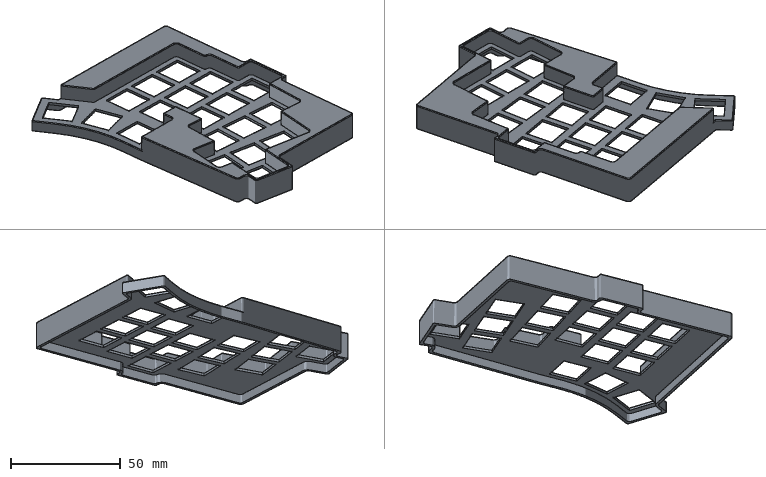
import cadquery as cq
import math

case_height = 12.5
plate_top = 5.3
plate_thickness = 1.2
cavity_height = plate_top - plate_thickness

switch_hole = 14.0
key_pitch = 17.0
column_rows = (-1, 0, 1)

column_pitch = 17.9
middle_x = -0.4
index_column = (middle_x - 2 * column_pitch, 10.4, 0)
ring_column = (middle_x - column_pitch, 13.2, 0)
middle_column = (middle_x, 21.5, 0)
fourth_column = (19.0, 11.4, 4)
fifth_column = (37.5, -4.0, 10)
columns = (index_column, ring_column, middle_column, fourth_column, fifth_column)

outer_key_across = 18.0
outer_key_along = -9.3

thumb_radius = 77.0
thumb_step = 15
thumb_pivot_x = -13.3
thumb_pivot_y = -101.9
thumb_angles = (0, thumb_step, 2 * thumb_step)

surround_half_width = 11.2
surround_half_length = 10.6
wall = 1.3

well_half_width = surround_half_width - wall
well_half_length = surround_half_length - wall
column_half_length = key_pitch + well_half_length
well_thumb_half = 11.3

well_front_reach = 16.0
thumb_back_reach = 14.6
thumb_link_length = 33.2

body_left = -60.0
body_right = 55.9
body_back = 45.0
body_front_right = -33.5

tolerance = 0.01

outer_radius = 0.8
body_radius = 1.6
bump_junction_radius = 1.6
thumb_junction_radius = 0.8
well_radius = 1.6
edge_chamfer = 0.4

rim_bottom = plate_top - edge_chamfer


def column_point(column, across, along):
    """Point given in the tilted axes of a finger column."""
    x, y, tilt = column
    angle = math.radians(tilt)
    return (
        x + across * math.cos(angle) + along * math.sin(angle),
        y - across * math.sin(angle) + along * math.cos(angle),
    )


def thumb_point(angle_degrees, across, along):
    """Point given in the axes of the thumb key at this fan angle."""
    angle = math.radians(angle_degrees)
    radius = thumb_radius + along
    return (
        thumb_pivot_x - radius * math.sin(angle) + across * math.cos(angle),
        thumb_pivot_y + radius * math.cos(angle) + across * math.sin(angle),
    )


def column_block(column, left, right, front, back, height):
    """Square-cornered block between the given limits in a column's tilted axes."""
    center = column_point(column, (left + right) / 2, (front + back) / 2)
    block = cq.Workplane("XY").rect(right - left, back - front).extrude(height)
    return block.rotate((0, 0, 0), (0, 0, 1), -column[2]).translate((*center, 0))


def key_block(column, across, along, half_width, half_length, height, radius):
    """Rounded block around one or more keys, centred at a point of the column's axes."""
    block = column_block(
        column,
        across - half_width,
        across + half_width,
        along - half_length,
        along + half_length,
        height,
    )
    return block.edges("|Z").fillet(radius)


def outer_key_block(half_width, half_length, height, radius):
    """Rounded block around the single outer key."""
    return key_block(
        fifth_column, outer_key_across, outer_key_along, half_width, half_length, height, radius
    )


def thumb_fan(half_width, front_half, back_half, height):
    """Block with a curved front edge that holds the three thumb keys."""
    first, second, third = thumb_angles
    return (
        cq.Workplane("XY")
        .moveTo(*thumb_point(third, -half_width, back_half))
        .lineTo(*thumb_point(third, -half_width, -front_half))
        .lineTo(*thumb_point(third, 0, -front_half))
        .threePointArc(thumb_point(second, 0, -front_half), thumb_point(first, 0, -front_half))
        .lineTo(*thumb_point(first, half_width, -front_half))
        .lineTo(*thumb_point(first, half_width, back_half))
        .lineTo(*thumb_point(first, 0, back_half))
        .lineTo(*thumb_point(third, thumb_back_reach, back_half))
        .close()
        .extrude(height)
    )


def footprint(inset, height, corner_radius):
    """Whole case outline, shrunk by the inset and raised to the height."""
    left = body_left + inset
    right = body_right - inset
    back = body_back - inset
    half_width = surround_half_width - inset
    half_length = surround_half_length - inset
    first, _, third = thumb_angles

    body = (
        cq.Workplane("XY")
        .moveTo(left, back)
        .lineTo(right, back)
        .lineTo(right, body_front_right + inset)
        .lineTo(*thumb_point(first, surround_half_width, -half_length))
        .lineTo(*thumb_point(first, 0, -half_length))
        .lineTo(*thumb_point(third, 0, 0))
        .lineTo(left, thumb_point(third, -half_width, 0)[1] + half_length)
        .close()
        .extrude(height)
    )
    body = body.edges("|Z").edges(">X or >Y").fillet(body_radius)
    fan = thumb_fan(half_width, half_length, half_length, height)
    fan = fan.edges("|Z").edges("<X or <Y").fillet(corner_radius)
    back_bump = key_block(middle_column, 0, key_pitch, half_width, half_length, height, corner_radius)
    side_bump = outer_key_block(half_width, half_length, height, corner_radius)
    outline = body.union(fan).union(back_bump).union(side_bump)

    def is_bump_junction(edge):
        point = edge.Center()
        on_back = abs(point.y - back) < tolerance and abs(point.x) < 2 * surround_half_width
        on_right = abs(point.x - right) < tolerance and body_front_right + 2 * body_radius < point.y < 0
        return on_back or on_right

    def is_thumb_junction(edge):
        point = edge.Center()
        return abs(point.x - left) < tolerance and point.y < 0

    outline = outline.edges("|Z").filter(is_bump_junction).fillet(bump_junction_radius + inset)
    return outline.edges("|Z").filter(is_thumb_junction).fillet(thumb_junction_radius + inset)


def key_well():
    """Open space above the plate in which the keycaps move."""
    depth = case_height - rim_bottom
    well = thumb_fan(well_thumb_half, well_front_reach, well_thumb_half, depth)
    well = well.edges("|Z").edges(">(1, 1, 0)").fillet(well_radius)
    well = well.union(outer_key_block(well_half_width, well_half_length, depth, well_radius))
    for column in columns:
        well = well.union(
            key_block(column, 0, 0, well_half_width, column_half_length, depth, well_radius)
        )

    for column in (fourth_column, fifth_column):
        well = well.union(column_block(column, -key_pitch, 0, -well_half_length, column_half_length, depth))
    for column in (middle_column, fourth_column):
        well = well.union(column_block(column, 0, well_half_width, -column_half_length, 0, depth))
    for column in (index_column, ring_column):
        well = well.union(
            column_block(column, -well_half_width, well_half_width, -thumb_link_length, 0, depth)
        )
    return well.translate((0, 0, rim_bottom))


def switch_holes():
    """Square through holes for all switches."""
    places = [
        (column_point(column, 0, row * key_pitch), -column[2])
        for column in columns
        for row in column_rows
    ]
    places.append((column_point(fifth_column, outer_key_across, outer_key_along), -fifth_column[2]))
    places += [(thumb_point(angle, 0, 0), angle) for angle in thumb_angles]
    holes = cq.Workplane("XY")
    for center, turn in places:
        hole = cq.Workplane("XY").rect(switch_hole, switch_hole).extrude(case_height)
        holes = holes.add(hole.rotate((0, 0, 0), (0, 0, 1), turn).translate((*center, 0)))
    return holes.combine()


def upper_case():
    """Raised rim around the key well, with its sharp corners rounded and its top edges chamfered."""
    rim = footprint(0, case_height - rim_bottom, outer_radius)
    rim = rim.translate((0, 0, rim_bottom)).cut(key_well())

    rounded_edges = rim.faces("%CYLINDER").edges("|Z").vals()

    def is_sharp(edge):
        return not any(edge.isSame(rounded) for rounded in rounded_edges)

    rim = rim.edges("|Z").filter(is_sharp).fillet(outer_radius)
    return rim.faces(">Z").chamfer(edge_chamfer)


def lower_case():
    """Solid slab up to the plate with chamfered top edges, left exposed only along the thumb fan."""
    return footprint(0, plate_top, outer_radius).faces(">Z").chamfer(edge_chamfer)


cavity = footprint(wall, cavity_height, well_radius)
result = lower_case().union(upper_case()).cut(cavity).cut(switch_holes())